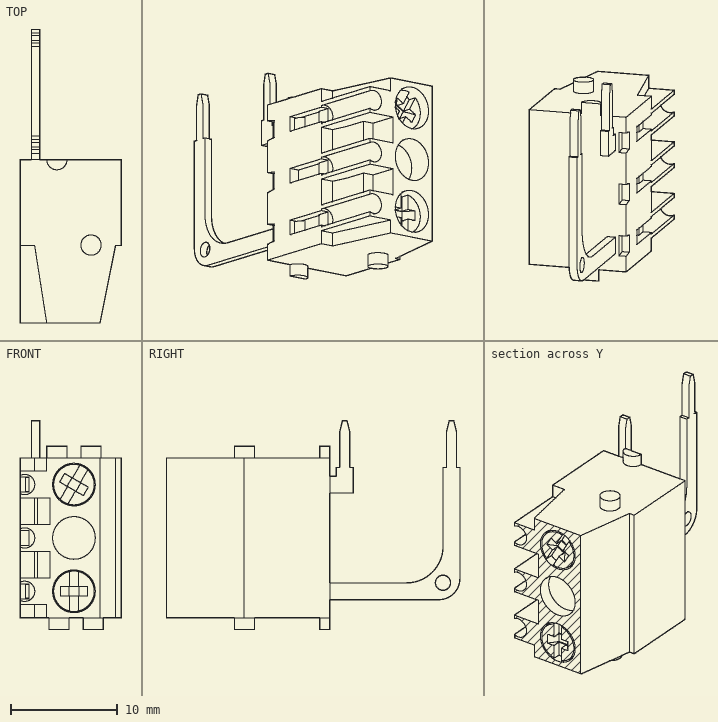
import cadquery as cq


POLES = 3
PITCH = 5.0
HOUSING_HEIGHT = POLES * PITCH
HOUSING_WIDTH = 9.5
HOUSING_DEPTH = 15.3
SHOULDER_Y = -8.05
FRONT_Y = -HOUSING_DEPTH

NOSE_LEFT_BACK = 1.37
NOSE_LEFT_FRONT = 2.5
NOSE_RIGHT_BACK = 8.95
NOSE_RIGHT_FRONT = 7.5

RIB_HEIGHT = PITCH / 2
POCKET_FLAT_X = 1.65
POCKET_FLAT_Y = -9.9
POCKET_STEP_X = 2.8
POCKET_STEP_Y = -12.3

GROOVE_DIAMETER = 1.9
GROOVE_AXIS_X = 0.43
SLOT_HEIGHT = 1.4
SLOT_FRONT_DEPTH = 0.82
SLOT_REAR_DEPTH = 1.0
SLOT_STEP_Y = -6.7
SLOT_END_Y = -3.4
RAMP_HEIGHT = 1.28
RAMP_LENGTH = 1.0
RAMP_TOP_X = 0.5

NOTCH_DEPTH_X = 0.7
NOTCH_DEPTH_Y = 1.0
NOTCH_MOUTH = 1.95
NOTCH_FLOOR = 1.65

SCREW_AXIS_X = 5.05
HOLE_DIAMETER = 4.0
HOLE_DEPTH = 2.5
SCREW_DIAMETER = 3.8
SCREW_RECESS = 1.1
DRIVE_SLOT_WIDTH = 0.85
DRIVE_SLOT_DEPTH = 0.9
CROSS_WIDTH = 0.92
CROSS_LENGTH = 2.56
CROSS_FLOOR_LENGTH = 0.96
CROSS_DEPTH = 1.0
BOTTOM_SCREW_ANGLE = 0.0
TOP_SCREW_ANGLE = 30.0

PEG_DIAMETER = 1.9
PEG_HEIGHT = 1.1
PEG_FRONT_Y = -8.0
TOP_PEG_X = (3.45, 6.65)
BOTTOM_PEG_X = (3.65, 6.85)

LEAD_THICKNESS = 0.8
LEAD_CENTRE_X = 1.45
LEAD_WIDTH = 1.6
LEAD_ROOT = 1.0
LEAD_SHOULDER_Z = 14.1
LEAD_TIP_Z = 18.48
LONG_LEAD_Y = 11.4
SHORT_LEAD_Y = 1.4
PIN_WIDTH = 0.94
PIN_TIP_WIDTH = 0.45
PIN_TAPER = 1.0
BEND_INNER_RADIUS = 3.4
BEND_OUTER_RADIUS = 2.0
BEND_HOLE_DIAMETER = 1.4

POLE_Z = [PITCH * (i + 0.5) for i in range(POLES)]
BOTTOM_POLE_Z = POLE_Z[0]
TOP_POLE_Z = POLE_Z[-1]


def block(x0, x1, y0, y1, z0, z1):
    return cq.Workplane("XY").box(x1 - x0, y1 - y0, z1 - z0, centered=False).translate((x0, y0, z0))


def housing_layer(left_edge, z0, z1):
    """Slab of the housing whose left edge, ahead of the shoulder, follows the given points."""
    outline = [
        (0, 0),
        (0, SHOULDER_Y),
        *left_edge,
        (NOSE_RIGHT_FRONT, FRONT_Y),
        (NOSE_RIGHT_BACK, SHOULDER_Y),
        (HOUSING_WIDTH, SHOULDER_Y),
        (HOUSING_WIDTH, 0),
    ]
    return cq.Workplane("XY").polyline(outline).close().extrude(z1 - z0).translate((0, 0, z0))


def make_housing():
    rib_edge = [(0, FRONT_Y)]
    corner_edge = [(NOSE_LEFT_BACK, SHOULDER_Y), (NOSE_LEFT_FRONT, FRONT_Y)]
    pocket_edge = [
        (NOSE_LEFT_BACK, SHOULDER_Y),
        (POCKET_FLAT_X, POCKET_FLAT_Y),
        (POCKET_FLAT_X, POCKET_STEP_Y),
        (POCKET_STEP_X, POCKET_STEP_Y),
        (POCKET_STEP_X, FRONT_Y),
    ]
    half_rib = RIB_HEIGHT / 2
    housing = housing_layer(corner_edge, 0, BOTTOM_POLE_Z - half_rib)
    housing = housing.union(housing_layer(corner_edge, TOP_POLE_Z + half_rib, HOUSING_HEIGHT))
    for z in POLE_Z:
        housing = housing.union(housing_layer(rib_edge, z - half_rib, z + half_rib))
    for lower, upper in zip(POLE_Z, POLE_Z[1:]):
        housing = housing.union(housing_layer(pocket_edge, lower + half_rib, upper - half_rib))
    return housing


def front_cylinder(x, z, diameter, y_front, y_rear):
    """Cylinder along Y between two Y positions."""
    profile = cq.Workplane("XZ", origin=(x, y_rear, z)).circle(diameter / 2)
    return profile.extrude(y_rear - y_front)


def wire_entry(z):
    """Round groove along a rib and the stepped contact slot behind it."""
    groove = front_cylinder(GROOVE_AXIS_X, z, GROOVE_DIAMETER, FRONT_Y, SHOULDER_Y)
    half_slot = SLOT_HEIGHT / 2
    front_slot = block(0, SLOT_FRONT_DEPTH, SHOULDER_Y, SLOT_END_Y, z - half_slot, z + half_slot)
    rear_slot = block(0, SLOT_REAR_DEPTH, SLOT_STEP_Y, SLOT_END_Y, z - half_slot, z + half_slot)
    return groove.union(front_slot).union(rear_slot)


def contact_ramp(z):
    """Wedge in the rear end of a contact slot, slightly narrower than the slot."""
    outline = [
        (RAMP_TOP_X, SLOT_END_Y),
        (SLOT_REAR_DEPTH, SLOT_END_Y),
        (SLOT_REAR_DEPTH, SLOT_END_Y - RAMP_LENGTH),
    ]
    wedge = cq.Workplane("XY").polyline(outline).close().extrude(RAMP_HEIGHT)
    return wedge.translate((0, 0, z - RAMP_HEIGHT / 2))


def rear_notch(z):
    outline = [
        (0, z - NOTCH_MOUTH / 2),
        (-NOTCH_DEPTH_Y, z - NOTCH_FLOOR / 2),
        (-NOTCH_DEPTH_Y, z + NOTCH_FLOOR / 2),
        (0, z + NOTCH_MOUTH / 2),
    ]
    return cq.Workplane("YZ").polyline(outline).close().extrude(NOTCH_DEPTH_X)


def screw(z, angle):
    """Screw head standing in its hole, with a slot and a tapered cross recess, turned about Y."""
    face_y = FRONT_Y + SCREW_RECESS
    head = front_cylinder(0, 0, SCREW_DIAMETER, face_y, FRONT_Y + HOLE_DEPTH)
    half_slot = DRIVE_SLOT_WIDTH / 2
    reach = SCREW_DIAMETER
    slot = block(-half_slot, half_slot, face_y, face_y + DRIVE_SLOT_DEPTH, -reach, reach)
    cross_outline = [
        (-CROSS_LENGTH / 2, face_y),
        (CROSS_LENGTH / 2, face_y),
        (CROSS_FLOOR_LENGTH / 2, face_y + CROSS_DEPTH),
        (-CROSS_FLOOR_LENGTH / 2, face_y + CROSS_DEPTH),
    ]
    cross = cq.Workplane("XY").polyline(cross_outline).close().extrude(CROSS_WIDTH / 2, both=True)
    head = head.cut(slot).cut(cross)
    return head.rotate((0, 0, 0), (0, 1, 0), angle).translate((SCREW_AXIS_X, 0, z))


def pegs(rear_x, front_x, z):
    """Half-round peg flush with the rear face and a full round peg near the shoulder."""
    radius = PEG_DIAMETER / 2
    both = cq.Workplane("XY", origin=(0, 0, z)).pushPoints([(rear_x, 0), (front_x, PEG_FRONT_Y)])
    both = both.circle(radius).extrude(PEG_HEIGHT)
    behind_rear_face = block(0, HOUSING_WIDTH, 0, PEG_DIAMETER, z, z + PEG_HEIGHT)
    return both.cut(behind_rear_face)


def lead_plate(outline):
    """Sheet-metal lead extruded across its thickness from a closed outline in Y and Z."""
    return outline.extrude(LEAD_THICKNESS).translate((LEAD_CENTRE_X - LEAD_THICKNESS / 2, 0, 0))


def solder_pin(y):
    outline = [
        (y - PIN_WIDTH / 2, LEAD_SHOULDER_Z),
        (y - PIN_WIDTH / 2, LEAD_TIP_Z - PIN_TAPER),
        (y - PIN_TIP_WIDTH / 2, LEAD_TIP_Z),
        (y + PIN_TIP_WIDTH / 2, LEAD_TIP_Z),
        (y + PIN_WIDTH / 2, LEAD_TIP_Z - PIN_TAPER),
        (y + PIN_WIDTH / 2, LEAD_SHOULDER_Z),
    ]
    return lead_plate(cq.Workplane("YZ").polyline(outline).close())


def angled_lead(y, arm_z):
    """Horizontal arm at arm_z, an upright centred on y, and a solder pin on top."""
    half = LEAD_WIDTH / 2
    outline = [
        (-LEAD_ROOT, arm_z - half),
        (y + half, arm_z - half),
        (y + half, LEAD_SHOULDER_Z),
        (y - half, LEAD_SHOULDER_Z),
        (y - half, arm_z + half),
        (-LEAD_ROOT, arm_z + half),
    ]
    plate = lead_plate(cq.Workplane("YZ").polyline(outline).close())
    return plate.union(solder_pin(y))


def long_lead():
    """Lead of the bottom pole: rounded bend with a hole through the corner."""
    half = LEAD_WIDTH / 2
    lead = angled_lead(LONG_LEAD_Y, BOTTOM_POLE_Z)
    inner_corner = cq.selectors.NearestToPointSelector(
        (LEAD_CENTRE_X, LONG_LEAD_Y - half, BOTTOM_POLE_Z + half))
    outer_corner = cq.selectors.NearestToPointSelector(
        (LEAD_CENTRE_X, LONG_LEAD_Y + half, BOTTOM_POLE_Z - half))
    lead = lead.edges(inner_corner).fillet(BEND_INNER_RADIUS)
    lead = lead.edges(outer_corner).fillet(BEND_OUTER_RADIUS)
    hole = cq.Workplane("YZ", origin=(0, LONG_LEAD_Y - half, BOTTOM_POLE_Z + half))
    return lead.cut(hole.circle(BEND_HOLE_DIAMETER / 2).extrude(HOUSING_WIDTH))


result = make_housing()

for pole_z in POLE_Z:
    result = result.cut(wire_entry(pole_z))
    result = result.cut(rear_notch(pole_z))
    result = result.cut(front_cylinder(SCREW_AXIS_X, pole_z, HOLE_DIAMETER, FRONT_Y, FRONT_Y + HOLE_DEPTH))

for pole_z, screw_angle in ((BOTTOM_POLE_Z, BOTTOM_SCREW_ANGLE), (TOP_POLE_Z, TOP_SCREW_ANGLE)):
    result = result.union(contact_ramp(pole_z))
    result = result.union(screw(pole_z, screw_angle))

result = result.union(pegs(*TOP_PEG_X, HOUSING_HEIGHT))
result = result.union(pegs(*BOTTOM_PEG_X, -PEG_HEIGHT))
result = result.union(long_lead())
result = result.union(angled_lead(SHORT_LEAD_Y, TOP_POLE_Z))